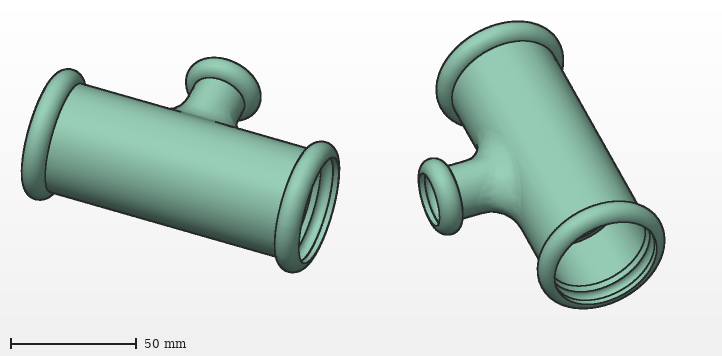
import cadquery as cq

run_length = 118.0
run_radius = 22.5
run_bead_radius = 26.9
run_bead_width = 10.0
run_stop_radius = 19.5
run_socket_depth = 34.2

branch_length = 51.9
branch_radius = 11.0
branch_bead_radius = 15.7
branch_bead_width = 9.7

wall = 1.5
blend_radius = 13.7
land_length = 2.5

run_socket_radius = run_radius - wall
branch_bore_radius = branch_radius - wall

run_tube_length = run_length - run_bead_width
branch_tube_length = branch_length - branch_bead_width / 2


def bead(outer_radius, width):
    """Ring with a half-round rim, from the end plane z = 0 up to z = width."""
    round_radius = width / 2
    shoulder = outer_radius - round_radius
    return (
        cq.Workplane("XZ")
        .lineTo(shoulder, 0)
        .threePointArc((outer_radius, round_radius), (shoulder, width))
        .lineTo(0, width)
        .close()
        .revolve(360, (0, 0), (0, 1))
    )


def socket(bead_radius, bead_width, bore_radius, depth):
    """Hollow of an open end: mouth land, half-round seal groove, tapered lead-in and bore."""
    mouth_radius = bead_radius - bead_width / 2
    groove_end = bead_width - land_length
    groove_depth = bead_width / 2 - land_length
    return (
        cq.Workplane("XZ")
        .lineTo(mouth_radius, 0)
        .lineTo(mouth_radius, land_length)
        .threePointArc((mouth_radius + groove_depth, bead_width / 2), (mouth_radius, groove_end))
        .lineTo(bore_radius, bead_width)
        .lineTo(bore_radius, depth)
        .lineTo(0, depth)
        .close()
        .revolve(360, (0, 0), (0, 1))
    )


def on_run_ends(shape):
    """Copies of an end shape placed on both ends of the run, facing inwards."""
    left = shape.rotate((0, 0, 0), (0, 1, 0), 90).translate((-run_length / 2, 0, 0))
    return left.union(left.mirror("YZ"))


def on_branch_end(shape):
    """An end shape placed on the branch end, facing the run."""
    return shape.rotate((0, 0, 0), (1, 0, 0), 90).translate((0, branch_length, 0))


def run_cylinder(radius):
    """Cylinder along the run between the bead centres, with its seam on a Z side, clear of the branch."""
    cylinder = cq.Solid.makeCylinder(radius, run_tube_length, cq.Vector(0, 0, 0), cq.Vector(0, 0, 1))
    along_x = cylinder.rotate(cq.Vector(0, 0, 0), cq.Vector(0, 1, 0), 90)
    return cq.Workplane(along_x.translate(cq.Vector(-run_tube_length / 2, 0, 0)))


branch_tube = cq.Workplane("XZ").circle(branch_radius).extrude(-branch_tube_length)
body = run_cylinder(run_radius).union(branch_tube)
junction = cq.selectors.BoxSelector(
    (-branch_radius, 0, -branch_radius),
    (branch_radius, run_radius, branch_radius),
)
body = body.edges("%BSPLINE").edges(junction).fillet(blend_radius)

body = body.union(on_run_ends(bead(run_bead_radius, run_bead_width)))
body = body.union(on_branch_end(bead(branch_bead_radius, branch_bead_width)))

run_socket = socket(run_bead_radius, run_bead_width, run_socket_radius, run_socket_depth)
body = body.cut(run_cylinder(run_stop_radius)).cut(on_run_ends(run_socket))

branch_socket = socket(branch_bead_radius, branch_bead_width, branch_bore_radius, branch_length)
result = body.cut(on_branch_end(branch_socket))